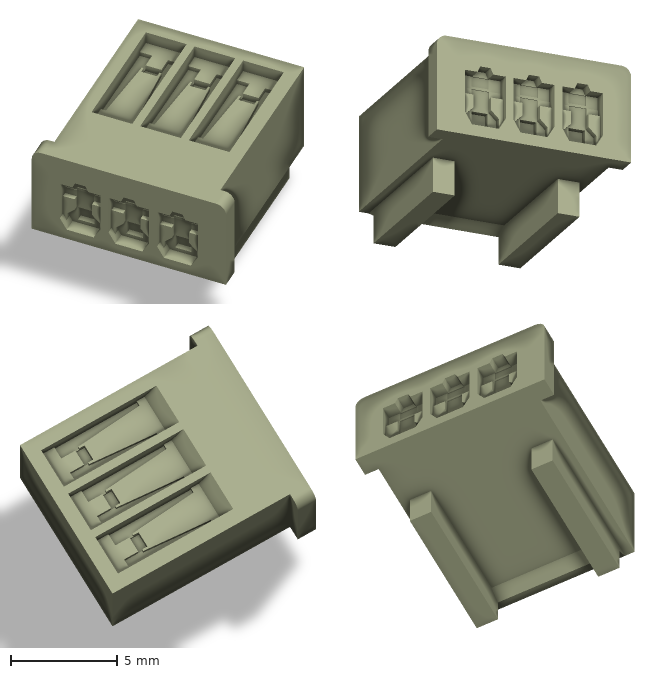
import cadquery as cq

body_width = 8.56
body_length = 10.7
body_height = 4.86
flange_width = 10.0
flange_length = 1.0
flange_corner_radius = 0.5

keel_outer_half = 3.78
keel_inner_half = 2.65
keel_depth = 1.74
keel_front = 3.23
keel_back = 10.12
web_depth = 0.34
web_front_run = 0.67

contact_count = 3
contact_pitch = 2.5
contact_half = 1.05

socket_floor = 0.57
socket_floor_half = 0.7
socket_side_bottom = 1.16
socket_top = 3.28
notch_base_half = 0.41
notch_top_half = 0.27
notch_top = 3.58

keyway_half = 0.45
keyway_wide_half = 0.86
keyway_wide_top = 1.22
keyway_neck = 1.6
shoulder_top = 2.26
upper_wall_bottom = 2.64
latch_hole_bottom = 2.77

shoulder_depth = 0.35
upper_shoulder_depth = 0.6
upper_wall_depth = 0.63
socket_depth = 0.68

pin_half = 0.42
pin_bottom = 0.77
pin_top = 1.53
pin_depth = 1.0

window_front = 3.67
window_back = 9.97
window_depth = 0.65
window_floor = body_height - window_depth
ramp_end = window_front + window_depth

recess_depth = 0.24
recess_floor = window_floor - recess_depth
recess_back = 9.26
lance_root = 4.75
lance_root_half = 0.79
lance_tip = 8.27
lance_tip_half = 0.5
tab_half = 0.41
tab_end = 8.49
tip_gap_front = 7.98
tip_gap_floor = 3.85


def block(half_width, front, back, bottom, top):
    """Box centred on X = 0."""
    box = cq.Workplane("XY").box(
        2 * half_width, back - front, top - bottom, centered=(True, False, False)
    )
    return box.translate((0, front, bottom))


def mirrored_prism(right_side, front, back):
    """Prism along Y whose (x, z) outline is the right side and its mirror image in X = 0."""
    left_side = [(-x, z) for x, z in reversed(right_side)]
    sketch = cq.Workplane("XZ", origin=(0, front, 0)).polyline(right_side + left_side).close()
    return sketch.extrude(front - back)


def side_prism(profile, half_width):
    """Prism along X, centred on X = 0, with a (y, z) profile."""
    sketch = cq.Workplane("YZ").polyline(profile).close()
    return sketch.extrude(half_width, both=True)


def make_housing():
    body = block(body_width / 2, 0, body_length, 0, body_height)
    flange = block(flange_width / 2, 0, flange_length, 0, body_height)
    flange = flange.edges("|Y and >Z").fillet(flange_corner_radius)
    return body.union(flange)


def make_keels():
    keels = block(keel_outer_half, keel_front, keel_back, -keel_depth, 0)
    keels = keels.cut(block(keel_inner_half, keel_front, keel_back, -keel_depth, 0))
    web_profile = [
        (body_length, 0),
        (keel_back, -web_depth),
        (keel_back - web_front_run, 0),
    ]
    return keels.union(side_prism(web_profile, keel_outer_half))


def make_socket():
    """Stepped cavity entered from the front face."""
    opening_side = [
        (socket_floor_half, socket_floor),
        (contact_half, socket_side_bottom),
        (contact_half, socket_top),
    ]
    keyway_side = [
        (keyway_wide_half, socket_floor),
        (keyway_wide_half, keyway_wide_top),
        (keyway_half, keyway_neck),
        (keyway_half, upper_wall_bottom),
    ]
    notch_side = [(notch_base_half, socket_top), (notch_top_half, notch_top)]

    keyway = mirrored_prism(keyway_side, 0, socket_depth)
    keyway = keyway.intersect(mirrored_prism(opening_side, 0, socket_depth))

    socket = mirrored_prism(opening_side, 0, shoulder_depth).union(keyway)
    socket = socket.union(block(contact_half, 0, upper_shoulder_depth, shoulder_top, socket_top))
    socket = socket.union(block(contact_half, 0, upper_wall_depth, upper_wall_bottom, socket_top))
    socket = socket.union(block(keyway_half, 0, socket_depth, latch_hole_bottom, socket_top))
    socket = socket.union(mirrored_prism(notch_side, 0, upper_wall_depth))
    return socket.union(block(pin_half, 0, pin_depth, pin_bottom, pin_top))


def make_window():
    """Pocket in the top face, recessed around a tapered lance and a short tab."""
    window_profile = [
        (window_front, body_height),
        (ramp_end, window_floor),
        (window_back, window_floor),
        (window_back, body_height),
    ]
    lance_outline = [
        (-lance_root_half, lance_root),
        (lance_root_half, lance_root),
        (lance_tip_half, lance_tip),
        (-lance_tip_half, lance_tip),
    ]
    lance = cq.Workplane("XY", origin=(0, 0, recess_floor)).polyline(lance_outline).close()
    lance = lance.extrude(recess_depth)
    tab = block(tab_half, tab_end, recess_back, recess_floor, window_floor)
    recess = block(contact_half, lance_root, recess_back, recess_floor, window_floor)
    recess = recess.cut(lance).cut(tab)

    tip_gap = block(tab_half, tip_gap_front, tab_end, tip_gap_floor, window_floor)
    return side_prism(window_profile, contact_half).union(recess).union(tip_gap)


result = make_housing().union(make_keels())
contact_cavity = [make_socket(), make_window()]
for index in range(contact_count):
    contact_x = (index - (contact_count - 1) / 2) * contact_pitch
    for cavity in contact_cavity:
        result = result.cut(cavity.translate((contact_x, 0, 0)))